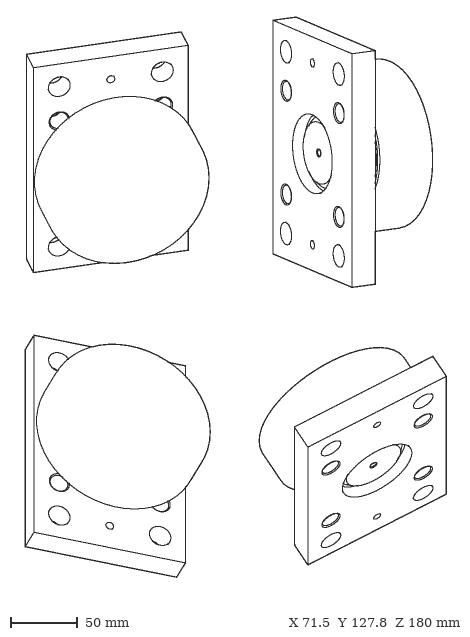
import cadquery as cq

plate_thickness = 20.0
plate_width = 120.0
plate_height = 180.0

overall_depth = 71.5
hub_radius = 40.0
collar_radius = 42.0
collar_start = 32.4
roller_back = 34.2
roller_radius = 63.9
back_fillet = 3.0
rim_start = 63.9
rim_end = 69.3
crown_outer_radius = 60.0
crown_mid_radius = 51.3
crown_mid_depth = 70.5
crown_flat_radius = 42.0
rim_mid_depth = 67.5
rim_mid_radius = 62.6

bore_radius = 30.0
bore_depth = 10.0
axle_radius = 27.5
axle_tip_radius = 23.5
axle_tip_depth = 5.4
grease_radius = 2.5
grease_chamfer = 0.5
grease_depth = 10.8
drill_tip_height = 1.8

hole_spacing_y = 80.0
mount_spacing_z = 140.0
mount_radius = 8.5
bolt_spacing_z = 80.0
bolt_radius = 7.0
bolt_chamfer = 0.9
pin_radius = 3.0


def revolve_about_x(profile):
    """Turn a closed X-radius profile, drawn in the XY plane, about the X axis."""
    return profile.close().revolve(360, (0, 0, 0), (1, 0, 0))


def plate_holes(radius, spacing_y, spacing_z):
    """Cylinders through the plate, mirrored about both of its centre lines."""
    side_positions = [-spacing_y / 2, spacing_y / 2] if spacing_y else [0]
    points = [(y, z) for y in side_positions for z in (-spacing_z / 2, spacing_z / 2)]
    return cq.Workplane("YZ").pushPoints(points).circle(radius).extrude(plate_thickness)


def drilled_plate():
    plate = cq.Workplane("XY").box(
        plate_thickness, plate_width, plate_height, centered=(False, True, True)
    )
    plate = plate.cut(plate_holes(bolt_radius, hole_spacing_y, bolt_spacing_z))
    plate = plate.faces("<X or >X").edges("%CIRCLE").chamfer(bolt_chamfer)
    plate = plate.cut(plate_holes(mount_radius, hole_spacing_y, mount_spacing_z))
    return plate.cut(plate_holes(pin_radius, 0, mount_spacing_z))


def roller():
    profile = (
        cq.Workplane("XY")
        .moveTo(plate_thickness, 0)
        .lineTo(plate_thickness, hub_radius)
        .lineTo(collar_start, hub_radius)
        .lineTo(collar_start, collar_radius)
        .lineTo(roller_back, collar_radius)
        .lineTo(roller_back, roller_radius - back_fillet)
        .radiusArc((roller_back + back_fillet, roller_radius), back_fillet)
        .lineTo(rim_start, roller_radius)
        .threePointArc((rim_mid_depth, rim_mid_radius), (rim_end, crown_outer_radius))
        .threePointArc((crown_mid_depth, crown_mid_radius), (overall_depth, crown_flat_radius))
        .lineTo(overall_depth, 0)
    )
    return revolve_about_x(profile)


def axle_recess():
    """Bore in the plate face, less the chamfered axle end standing in it."""
    profile = (
        cq.Workplane("XY")
        .lineTo(0, bore_radius)
        .lineTo(bore_depth, bore_radius)
        .lineTo(bore_depth, axle_radius)
        .lineTo(axle_tip_depth, axle_tip_radius)
        .lineTo(axle_tip_depth, 0)
    )
    return revolve_about_x(profile)


def grease_hole():
    """Blind hole with a chamfered mouth and conical bottom, down the axle centre."""
    bottom = axle_tip_depth + grease_depth
    profile = (
        cq.Workplane("XY")
        .lineTo(0, grease_radius + grease_chamfer)
        .lineTo(axle_tip_depth, grease_radius + grease_chamfer)
        .lineTo(axle_tip_depth + grease_chamfer, grease_radius)
        .lineTo(bottom, grease_radius)
        .lineTo(bottom + drill_tip_height, 0)
    )
    return revolve_about_x(profile)


result = drilled_plate().union(roller()).cut(axle_recess()).cut(grease_hole())